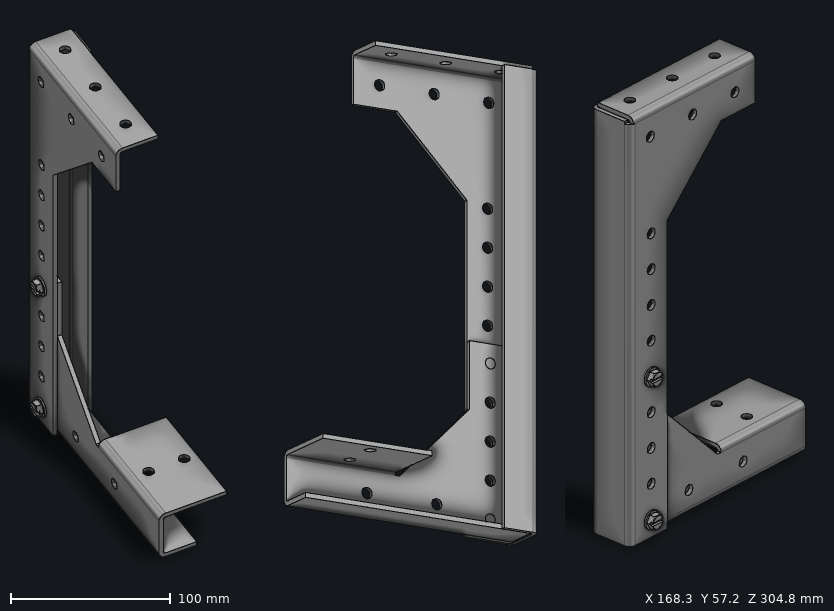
import cadquery as cq
import math

SHEET = 3.175
BEND_INNER = 1.6
BEND_OUTER = BEND_INNER + SHEET
HOLE_DIAMETER = 7.14

HEIGHT = 304.8
COLUMN_WIDTH = 34.925
COLUMN_DEPTH = 33.34
BACK_FLANGE_WIDTH = 25.4
ARM_LENGTH = 117.475
ARM_HEIGHT = 34.925
ARM_BOTTOM = HEIGHT - ARM_HEIGHT
GUSSET = 50.8
TOP_FLANGE_UNDERSIDE = HEIGHT - SHEET
TOP_FLANGE_DEPTH = COLUMN_DEPTH - SHEET
TOP_BEND_Z = HEIGHT - BEND_OUTER

ARM_HOLE_X = 19.05
ARM_HOLE_PITCH = 39.6875
ARM_HOLE_COUNT = 3
ARM_HOLE_INSET = 19.84
TOP_FLANGE_HOLE_Y = 17.3
COLUMN_HOLE_X = 19.84
COLUMN_HOLE_Z = 12.7
COLUMN_HOLE_PITCH = 25.4
COLUMN_HOLE_COUNT = 9

SCREW_HOLE_INDEXES = (0, 4)
SCREW_FLANGE_DIAMETER = 13.2
SCREW_FLANGE_THICKNESS = 1.27
HEAD_ACROSS_FLATS = 9.525
HEAD_ACROSS_CORNERS = HEAD_ACROSS_FLATS * 2 / math.sqrt(3)
HEAD_HEIGHT = 5.715
HEAD_CHAMFER = 0.9
SLOT_WIDTH = 2.1
SLOT_DEPTH = 2.0

TOTAL_DEPTH = 57.19
FOOT_FRONT = SHEET
FOOT_BACK = FOOT_FRONT + SHEET
FOOT_LEFT = BEND_OUTER
FOOT_RIGHT = 168.275
SHELF_LENGTH = 79.375
SHELF_LEFT = FOOT_RIGHT - SHELF_LENGTH
SHELF_REAR = TOTAL_DEPTH - HEAD_HEIGHT
SHELF_TOP = COLUMN_DEPTH + SHEET
SHELF_BEND_Z = SHELF_TOP - BEND_OUTER
BOTTOM_FLANGE_REAR = COLUMN_DEPTH - SHEET
LEG_TOP = 127.0

LEG_HOLE_COUNT = 5
SHELF_HOLE_X = FOOT_RIGHT - SHELF_LENGTH / 2
SHELF_HOLE_Y = 17.3
SHELF_HOLE_PITCH = 25.4
SHELF_HOLE_COUNT = 2
FOOT_HOLE_X = 58.74
FOOT_HOLE_PITCH = 50.8
FOOT_HOLE_COUNT = 2
FOOT_HOLE_Z = 17.06


def box(x0, x1, y0, y1, z0, z1):
    """Box between two values on each axis."""
    return cq.Workplane("XY").box(x1 - x0, y1 - y0, z1 - z0, centered=False).translate((x0, y0, z0))


def rod_y(x, z, diameter, y0, y1):
    """Cylinder along Y from y0 to y1."""
    return cq.Workplane("XZ", origin=(x, y0, z)).circle(diameter / 2).extrude(y0 - y1)


def rod_z(x, y, diameter, z0, z1):
    """Cylinder along Z from z0 to z1."""
    return cq.Workplane("XY", origin=(x, y, z0)).circle(diameter / 2).extrude(z1 - z0)


def plate_xz(points, front):
    """Sheet of the given XZ outline with its front face at y = front."""
    return cq.Workplane("XZ", origin=(0, front, 0)).polyline(points).close().extrude(-SHEET)


def bent_strip(x0, x1, front, rear, top):
    """Horizontal flange whose front edge bends down; it ends where the bend meets the upright plate."""
    drop = 2 * BEND_OUTER
    outer = box(x0, x1, front, rear, top - drop, top).edges("|X and <Y and >Z").fillet(BEND_OUTER)
    inner = box(x0, x1, front + SHEET, rear, top - drop, top - SHEET)
    strip = outer.cut(inner.edges("|X and <Y and >Z").fillet(BEND_INNER))
    return strip.cut(box(x0, x1, front, rear, top - drop, top - BEND_OUTER))


def column_hole_z(index):
    return COLUMN_HOLE_Z + index * COLUMN_HOLE_PITCH


def make_column():
    """Channel open toward +X, with a back flange narrower than its front."""
    outer = box(0, COLUMN_WIDTH, 0, COLUMN_DEPTH, 0, TOP_FLANGE_UNDERSIDE)
    outer = outer.edges("|Z and <X").fillet(BEND_OUTER)
    inner = box(SHEET, COLUMN_WIDTH, SHEET, COLUMN_DEPTH - SHEET, 0, TOP_FLANGE_UNDERSIDE)
    channel = outer.cut(inner.edges("|Z and <X").fillet(BEND_INNER))
    beyond_back_flange = box(BACK_FLANGE_WIDTH, COLUMN_WIDTH, SHEET, COLUMN_DEPTH, 0, TOP_FLANGE_UNDERSIDE)
    top_bend_room = box(0, COLUMN_WIDTH, 0, BEND_OUTER, TOP_BEND_Z, TOP_FLANGE_UNDERSIDE)
    return channel.cut(beyond_back_flange).cut(top_bend_room)


def make_upper_bracket():
    arm_outline = [
        (BEND_OUTER, TOP_BEND_Z),
        (ARM_LENGTH, TOP_BEND_Z),
        (ARM_LENGTH, ARM_BOTTOM),
        (COLUMN_WIDTH + GUSSET, ARM_BOTTOM),
        (COLUMN_WIDTH, ARM_BOTTOM - GUSSET),
        (BEND_OUTER, ARM_BOTTOM - GUSSET),
    ]
    top_flange = bent_strip(SHEET, ARM_LENGTH, 0, TOP_FLANGE_DEPTH, HEIGHT)
    bracket = make_column().union(plate_xz(arm_outline, 0)).union(top_flange)

    for index in range(ARM_HOLE_COUNT):
        x = ARM_HOLE_X + index * ARM_HOLE_PITCH
        bracket = bracket.cut(rod_y(x, HEIGHT - ARM_HOLE_INSET, HOLE_DIAMETER, 0, SHEET))
        bracket = bracket.cut(rod_z(x, TOP_FLANGE_HOLE_Y, HOLE_DIAMETER, TOP_FLANGE_UNDERSIDE, HEIGHT))
    for index in range(COLUMN_HOLE_COUNT):
        bracket = bracket.cut(rod_y(COLUMN_HOLE_X, column_hole_z(index), HOLE_DIAMETER, 0, SHEET))
    return bracket


def make_bottom_flange():
    """Flange bent back along the bottom of the foot."""
    strip = bent_strip(FOOT_LEFT, FOOT_RIGHT, FOOT_FRONT, BOTTOM_FLANGE_REAR, 0)
    return strip.mirror("XY")


def make_lower_bracket():
    plate_outline = [
        (FOOT_LEFT, BEND_OUTER),
        (FOOT_RIGHT, BEND_OUTER),
        (FOOT_RIGHT, SHELF_BEND_Z),
        (COLUMN_WIDTH + GUSSET, SHELF_BEND_Z),
        (COLUMN_WIDTH, SHELF_BEND_Z + GUSSET),
        (COLUMN_WIDTH, LEG_TOP),
        (FOOT_LEFT, LEG_TOP),
    ]
    shelf = bent_strip(SHELF_LEFT, FOOT_RIGHT, FOOT_FRONT, SHELF_REAR, SHELF_TOP)
    bracket = plate_xz(plate_outline, FOOT_FRONT).union(shelf).union(make_bottom_flange())

    for index in range(LEG_HOLE_COUNT):
        hole = rod_y(COLUMN_HOLE_X, column_hole_z(index), HOLE_DIAMETER, FOOT_FRONT, FOOT_BACK)
        bracket = bracket.cut(hole)
    for index in range(FOOT_HOLE_COUNT):
        x = FOOT_HOLE_X + index * FOOT_HOLE_PITCH
        bracket = bracket.cut(rod_y(x, FOOT_HOLE_Z, HOLE_DIAMETER, FOOT_FRONT, FOOT_BACK))
    for index in range(SHELF_HOLE_COUNT):
        y = SHELF_HOLE_Y + index * SHELF_HOLE_PITCH
        bracket = bracket.cut(rod_z(SHELF_HOLE_X, y, HOLE_DIAMETER, SHELF_TOP - SHEET, SHELF_TOP))
    return bracket


def make_screw(z):
    """Screw along Y whose shank fills the holes of both brackets."""
    hexagon = (
        cq.Workplane("XZ", origin=(COLUMN_HOLE_X, 0, z))
        .polygon(6, HEAD_ACROSS_CORNERS)
        .extrude(HEAD_HEIGHT)
    )
    envelope = rod_y(COLUMN_HOLE_X, z, HEAD_ACROSS_CORNERS, -HEAD_HEIGHT, 0)
    envelope = envelope.faces("<Y").chamfer(HEAD_CHAMFER)
    slot_floor = SLOT_DEPTH - HEAD_HEIGHT
    slot = box(0, COLUMN_WIDTH, -HEAD_HEIGHT, slot_floor, z - SLOT_WIDTH / 2, z + SLOT_WIDTH / 2)
    head = hexagon.intersect(envelope).cut(slot)
    flange = rod_y(COLUMN_HOLE_X, z, SCREW_FLANGE_DIAMETER, -SCREW_FLANGE_THICKNESS, 0)
    shank = rod_y(COLUMN_HOLE_X, z, HOLE_DIAMETER, 0, FOOT_BACK)
    return head.union(flange).union(shank)


upper_bracket = make_upper_bracket()
lower_bracket = make_lower_bracket()
screws = [make_screw(column_hole_z(index)) for index in SCREW_HOLE_INDEXES]
result = cq.Compound.makeCompound(
    [upper_bracket.val(), lower_bracket.val()] + [screw.val() for screw in screws]
)